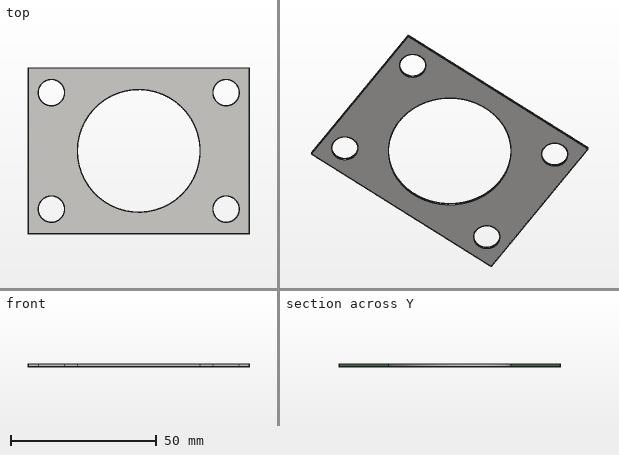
import cadquery as cq

length = 76.0
width = 57.0
thickness = 1.0

bore_diameter = 42.0
bolt_hole_diameter = 9.0
bolt_spacing_x = 60.0
bolt_spacing_y = 40.0

plate = cq.Workplane("XY").box(length, width, thickness)

bored_plate = plate.faces(">Z").workplane().hole(bore_diameter)

result = (
    bored_plate.faces(">Z")
    .workplane(origin=(0, 0, 0))
    .rect(bolt_spacing_x, bolt_spacing_y, forConstruction=True)
    .vertices()
    .hole(bolt_hole_diameter)
)